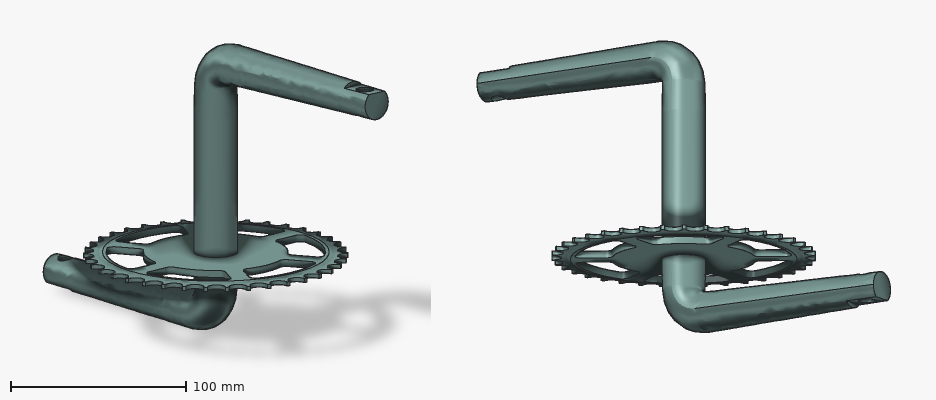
import cadquery as cq
import math


overall_length = 270.0
arm_tip_x = overall_length / 2
spindle_diameter = 25.0
spindle_length = 85.0
spindle_end_z = spindle_length / 2
arm_axis_z = 75.3
arm_bend_radius = 15.0
arm_tip_diameter = 18.0

seat_length = 20.0
seat_height = 6.8
pedal_hole_diameter = 10.0
pedal_hole_x = arm_tip_x - pedal_hole_diameter

ring_thickness = 4.0
ring_bottom_z = -spindle_end_z
ring_middle_z = ring_bottom_z + ring_thickness / 2
flat_radius = 64.8
cove_radius = 68.8
tooth_thickness = 2.5

cove_width = cove_radius - flat_radius
cove_depth = (ring_thickness - tooth_thickness) / 2
cove_arc_radius = (cove_width**2 + cove_depth**2) / (2 * cove_depth)

tip_diameter = 151.0
tip_radius = tip_diameter / 2
tooth_count = 38
tooth_pitch_angle = 360 / tooth_count
roller_radius = 5.0
root_radius = 70.0
roller_centre_radius = root_radius + roller_radius

spoke_count = 6
spoke_pitch_angle = 360 / spoke_count
spoke_width = 10.8
spoke_offset = 0.8
hub_radius = 41.3
window_radius = 62.6
window_corner_radius = 4.0


def make_arm():
    """Upper crank arm: a round bar that bends from +Z to +X and tapers evenly along its length."""
    bend_middle = arm_bend_radius * math.sqrt(0.5)
    path = (
        cq.Workplane("XZ")
        .moveTo(0, spindle_end_z)
        .lineTo(0, arm_axis_z - arm_bend_radius)
        .threePointArc(
            (arm_bend_radius - bend_middle, arm_axis_z - arm_bend_radius + bend_middle),
            (arm_bend_radius, arm_axis_z),
        )
        .lineTo(arm_tip_x, arm_axis_z)
    )
    bar = (
        cq.Workplane("XY", origin=(0, 0, spindle_end_z))
        .circle(spindle_diameter / 2)
        .copyWorkplane(cq.Workplane("YZ", origin=(arm_tip_x, 0, arm_axis_z)))
        .circle(arm_tip_diameter / 2)
        .sweep(path, multisection=True)
    )

    flat_cut = cq.Workplane("XY", origin=(arm_tip_x, 0, arm_axis_z + seat_height)).box(
        2 * seat_length, spindle_diameter, spindle_diameter, centered=(True, True, False)
    )
    pedal_hole = (
        cq.Workplane("XY", origin=(pedal_hole_x, 0, arm_axis_z))
        .circle(pedal_hole_diameter / 2)
        .extrude(arm_tip_diameter, both=True)
    )
    return bar.cut(flat_cut).cut(pedal_hole)


def make_ring_blank():
    """Disc whose rim is hollowed by a cove on both faces down to the tooth thickness."""
    half_ring = ring_thickness / 2
    half_tooth = tooth_thickness / 2
    return (
        cq.Workplane("XZ")
        .moveTo(0, -half_ring)
        .lineTo(flat_radius, -half_ring)
        .radiusArc((cove_radius, -half_tooth), cove_arc_radius)
        .lineTo(tip_radius, -half_tooth)
        .lineTo(tip_radius, half_tooth)
        .lineTo(cove_radius, half_tooth)
        .radiusArc((flat_radius, half_ring), cove_arc_radius)
        .lineTo(0, half_ring)
        .close()
        .revolve(360, (0, 0, 0), (0, 1, 0))
    )


def make_tooth_gaps():
    """Round roller seats; teeth lie on the X axis, gaps half a pitch away."""
    return (
        cq.Workplane("XY")
        .polarArray(roller_centre_radius, tooth_pitch_angle / 2, 360, tooth_count)
        .circle(roller_radius)
        .extrude(ring_thickness, both=True)
    )


def make_windows():
    """Rounded openings left between the hub, the rim and the spokes."""
    windows = (
        cq.Workplane("XY")
        .circle(window_radius)
        .circle(hub_radius)
        .extrude(ring_thickness, both=True)
    )
    for index in range(spoke_count):
        spoke = (
            cq.Workplane("XY")
            .center(tip_radius / 2, spoke_offset)
            .rect(tip_radius, spoke_width)
            .extrude(ring_thickness, both=True)
            .rotate((0, 0, 0), (0, 0, 1), spoke_pitch_angle * (index + 0.5))
        )
        windows = windows.cut(spoke)
    return windows.edges("|Z").fillet(window_corner_radius)


spindle = cq.Workplane("XY").circle(spindle_diameter / 2).extrude(spindle_end_z, both=True)
upper_arm = make_arm()
lower_arm = upper_arm.rotate((0, 0, 0), (0, 1, 0), 180)
chainring = make_ring_blank().cut(make_tooth_gaps()).cut(make_windows())

result = spindle.union(upper_arm).union(lower_arm).union(chainring.translate((0, 0, ring_middle_z)))